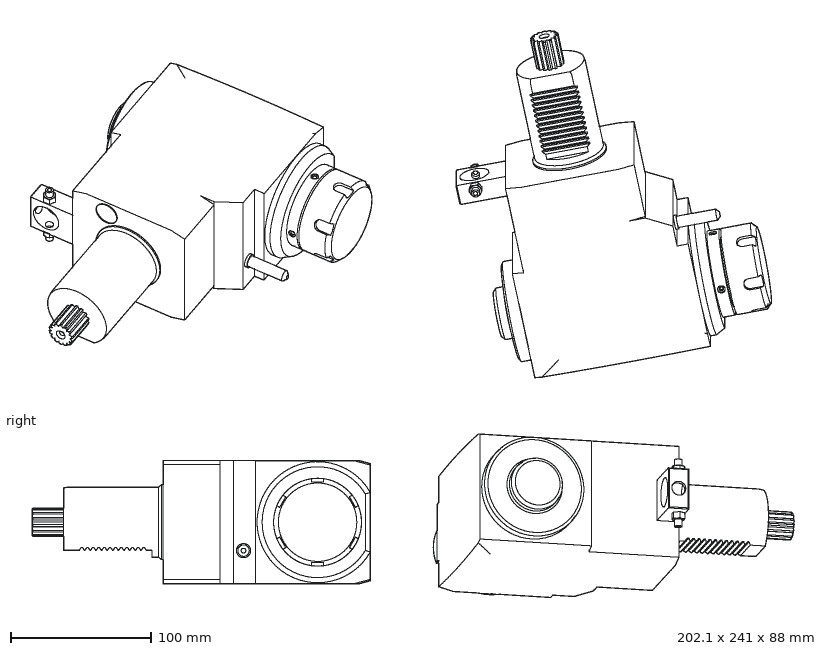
import cadquery as cq
import math


spindle_y = 110.1

height = 88.0
half_height = height / 2
back_y = 147.7
head_left_x = -55.0
head_right_x = 72.8
head_front_y = 66.0
base_half_width = 46.8
shoulder_x = 64.8
shoulder_y = 50.4
base_top_y = 40.5
bevel_slope = math.tan(math.radians(15))
side_bevel_x = 35.5
end_bevel_x = 71.3
back_arc_radius = 347.0
back_arc_x = 18.0
back_arc_y = 139.8

cap_radius = 36.5
cap_x = -65.0
cap_bevel_length = 1.5
cap_bevel_depth = 2.2
knob_radius = 18.8
knob_x = -74.5
knob_chamfer = 2.5
knob_foot_radius = 20.2
knob_foot_length = 1.5

flange_radius = 43.1
flange_bevel_x = 77.0
flange_x = 83.9
flange_bevel_depth = 3.5
collar_radius = 31.3
collar_x = 92.5
groove_radius = 25.3
nut_start_x = 94.0
nut_x = 119.0
nut_chamfer = 3.4
slot_count = 6
slot_width = 8.7
slot_depth = 2.7
slot_length = 14.5
set_screw_count = 4
set_screw_x = 88.2
set_screw_radius = 2.7
set_screw_depth = 1.2
socket_radius = 1.5
socket_depth = 2.5

pin_y = 57.4
pin_z = -20.2
pin_radius = 4.0
pin_x = 97.5
pin_chamfer = 2.5
pin_seat_radius = 5.0
pin_seat_length = 2.0

shank_radius = 25.0
shank_length = 70.9
shank_bevel_length = 3.0
shank_bevel_depth = 0.5
rim_radius = 26.8
rim_length = 1.2
rim_bevel_end = 3.1
flat_z = -20.0
flat_start_y = -8.0
tooth_gap_count = 12
first_gap_y = -13.7
last_gap_y = -57.8
tooth_pitch = (first_gap_y - last_gap_y) / (tooth_gap_count - 1)
gap_depth = 1.8
gap_mouth = 3.5
gap_floor = 1.0

spline_count = 14
spline_tip_radius = 10.1
spline_root_radius = 8.0
spline_tip_share = 0.3
spline_end_y = -93.3
spline_chamfer = 0.7
center_hole_radius = 2.0
center_hole_depth = 7.2
center_sink_radius = 3.5

recess_x = -18.5
recess_z = 32.3
recess_radius = 8.7
recess_depth = 0.7

block_x = -83.1
block_front_y = 1.33
block_depth = 15.0
block_y = block_front_y + block_depth / 2
block_height = 29.6
block_half_height = block_height / 2
block_chamfer = 0.7
bore_x = -69.6
bore_diameter = 21.0
bore_radius = bore_diameter / 2
inlet_radius = 5.0
pilot_radius = 1.2
pilot_depth = 2.5
nozzle_y = 6.0
hex_radius = 4.8
hex_height = 4.8
hex_chamfer = 0.7
nozzle_diameter = 5.5
nozzle_radius = nozzle_diameter / 2
nozzle_top_z = 24.5
nozzle_hole_radius = 1.5
wall_hole_radius = 3.0


def revolve_about_x(profile, axis_y=spindle_y):
    """Turn (x, radius) points into a solid around the line parallel to X at axis_y."""
    points = [(x, axis_y + radius) for x, radius in profile]
    closed = [(profile[0][0], axis_y)] + points + [(profile[-1][0], axis_y)]
    return cq.Workplane("XY").polyline(closed).close().revolve(360, (0, axis_y), (1, axis_y))


def revolve_about_y(profile):
    """Turn (radius, y) points into a solid around the Y axis."""
    closed = [(0, profile[0][1])] + profile + [(0, profile[-1][1])]
    return cq.Workplane("XY").polyline(closed).close().revolve(360, (0, 0), (0, 1))


def cylinder_along_x(radius, start_x, end_x, y, z):
    return cq.Workplane("YZ", origin=(start_x, y, z)).circle(radius).extrude(end_x - start_x)


def bevelled_bar(left_x, left_bevel_x, right_bevel_x, right_x):
    """Bar along Y whose top and bottom fall away at the bevel slope towards both sides."""
    left_z = half_height - (left_bevel_x - left_x) * bevel_slope
    right_z = half_height - (right_x - right_bevel_x) * bevel_slope
    upper = [(left_x, left_z), (left_bevel_x, half_height), (right_bevel_x, half_height), (right_x, right_z)]
    lower = [(x, -z) for x, z in reversed(upper)]
    return cq.Workplane("XZ", origin=(0, back_y, 0)).polyline(upper + lower).close().extrude(back_y)


def make_housing():
    head_outline = [
        (head_left_x, back_y),
        (head_right_x, back_y),
        (head_right_x, head_front_y),
        (shoulder_x, head_front_y),
        (shoulder_x, shoulder_y),
        (base_half_width, base_top_y),
        (-base_half_width, base_top_y),
        (-base_half_width, head_front_y),
        (head_left_x, head_front_y),
    ]
    head = cq.Workplane("XY").polyline(head_outline).close().extrude(half_height, both=True)
    head = head.intersect(bevelled_bar(head_left_x, -side_bevel_x, end_bevel_x, head_right_x))

    cone_base_radius = back_arc_radius + half_height / bevel_slope
    cone_axis = (back_arc_x, back_arc_y - back_arc_radius)
    cone_outline = [
        (0, half_height),
        (back_arc_radius, half_height),
        (cone_base_radius, 0),
        (back_arc_radius, -half_height),
        (0, -half_height),
    ]
    cone = cq.Workplane("XZ").polyline(cone_outline).close().revolve(360, (0, 0), (0, 1))
    head = head.intersect(cone.translate((*cone_axis, 0)))

    base = bevelled_bar(-base_half_width, -side_bevel_x, side_bevel_x, base_half_width)
    base_limit = cq.Workplane("XY").box(2 * base_half_width, base_top_y, height)
    base_limit = base_limit.translate((0, base_top_y / 2, 0))
    recess = cq.Workplane("XZ", origin=(recess_x, 0, recess_z)).circle(recess_radius).extrude(-recess_depth)
    return head.union(base.intersect(base_limit)).cut(recess)


def make_cap():
    return revolve_about_x([
        (knob_x, knob_radius - knob_chamfer),
        (knob_x + knob_chamfer, knob_radius),
        (cap_x - knob_foot_length, knob_radius),
        (cap_x, knob_foot_radius),
        (cap_x, cap_radius - cap_bevel_depth),
        (cap_x + cap_bevel_length, cap_radius),
        (head_left_x, cap_radius),
    ])


def flange_section(x):
    """Circle around the spindle, cut off flush with the back of the housing."""
    flat = back_y - spindle_y
    half_chord = math.sqrt(flange_radius ** 2 - flat ** 2)
    plane = cq.Workplane("YZ", origin=(x, spindle_y, 0))
    return plane.moveTo(flat, half_chord).threePointArc((-flange_radius, 0), (flat, -half_chord)).close()


def make_nose():
    bevel_length = flange_x - flange_bevel_x
    bevel_angle = math.degrees(math.atan(flange_bevel_depth / bevel_length))
    flange = flange_section(head_right_x).extrude(flange_bevel_x - head_right_x)
    flange = flange.union(flange_section(flange_bevel_x).extrude(bevel_length, taper=bevel_angle))
    spindle = revolve_about_x([
        (flange_x, collar_radius),
        (collar_x, collar_radius),
        (collar_x, groove_radius),
        (nut_start_x, groove_radius),
        (nut_start_x, collar_radius),
        (nut_x - nut_chamfer, collar_radius),
        (nut_x, collar_radius - nut_chamfer),
    ])
    axis_start, axis_end = (0, spindle_y, 0), (1, spindle_y, 0)

    slot_nose_x = nut_x - slot_length + slot_width / 2
    slot_plane = cq.Workplane("XY", origin=(slot_nose_x, spindle_y, collar_radius - slot_depth))
    slot = slot_plane.circle(slot_width / 2).extrude(2 * slot_depth)
    slot_run = slot_plane.center(slot_length / 2, 0).rect(slot_length, slot_width)
    slot = slot.union(slot_run.extrude(2 * slot_depth))
    for i in range(slot_count):
        spindle = spindle.cut(slot.rotate(axis_start, axis_end, i * 360 / slot_count))

    screw_plane = cq.Workplane("XY", origin=(set_screw_x, spindle_y, collar_radius))
    screw = screw_plane.circle(set_screw_radius).extrude(-set_screw_depth)
    screw = screw.union(screw_plane.circle(socket_radius).extrude(-set_screw_depth - socket_depth))
    for i in range(set_screw_count):
        spindle = spindle.cut(screw.rotate(axis_start, axis_end, i * 360 / set_screw_count))
    return flange.union(spindle)


def make_pin():
    seat = cylinder_along_x(pin_seat_radius, shoulder_x, shoulder_x + pin_seat_length, pin_y, pin_z)
    pin = cylinder_along_x(pin_radius, shoulder_x, pin_x, pin_y, pin_z)
    return seat.union(pin.faces(">X").chamfer(pin_chamfer))


def make_shank():
    shank = revolve_about_y([
        (rim_radius, 0),
        (rim_radius, -rim_length),
        (shank_radius, -rim_bevel_end),
        (shank_radius, shank_bevel_length - shank_length),
        (shank_radius - shank_bevel_depth, -shank_length),
    ])
    flat_length = shank_length + flat_start_y
    flat_cut = cq.Workplane("XY").box(2 * shank_radius, flat_length, shank_radius)
    shank = shank.cut(flat_cut.translate((0, flat_start_y - flat_length / 2, flat_z - shank_radius / 2)))

    gap_outline = [
        (-gap_mouth / 2, flat_z),
        (-gap_floor / 2, flat_z + gap_depth),
        (gap_floor / 2, flat_z + gap_depth),
        (gap_mouth / 2, flat_z),
    ]
    gap = cq.Workplane("YZ").polyline(gap_outline).close().extrude(shank_radius, both=True)
    for i in range(tooth_gap_count):
        shank = shank.cut(gap.translate((0, first_gap_y - i * tooth_pitch, 0)))
    return shank


def make_spline():
    pitch_angle = 2 * math.pi / spline_count
    outline = []
    for i in range(spline_count):
        for radius, share in (
            (spline_root_radius, 0),
            (spline_tip_radius, 0.5 - spline_tip_share / 2),
            (spline_tip_radius, 0.5 + spline_tip_share / 2),
        ):
            angle = (i + share) * pitch_angle
            outline.append((radius * math.cos(angle), radius * math.sin(angle)))
    length = -spline_end_y - shank_length
    spline = cq.Workplane("XZ", origin=(0, -shank_length, 0)).polyline(outline).close().extrude(length)
    envelope = revolve_about_y([
        (spline_tip_radius, -shank_length),
        (spline_tip_radius, spline_end_y + spline_chamfer),
        (spline_tip_radius - spline_chamfer, spline_end_y),
    ])
    sink_depth = center_sink_radius - center_hole_radius
    hole = revolve_about_y([
        (center_sink_radius, spline_end_y),
        (center_hole_radius, spline_end_y + sink_depth),
        (center_hole_radius, spline_end_y + center_hole_depth),
    ])
    return spline.intersect(envelope).cut(hole)


def make_nozzle():
    """Hex body and hollow nozzle standing on top of the coolant block."""
    foot = cq.Workplane("XY", origin=(bore_x, nozzle_y, block_half_height))
    hexagon = foot.polygon(6, 2 * hex_radius).extrude(hex_height)
    hexagon = hexagon.intersect(foot.circle(hex_radius).extrude(hex_height).faces(">Z").chamfer(hex_chamfer))
    tube = foot.circle(nozzle_radius).extrude(nozzle_top_z - block_half_height)
    bore = foot.circle(nozzle_hole_radius).extrude(nozzle_top_z - block_half_height)
    return hexagon.union(tube).cut(bore)


def make_coolant_block():
    length = -base_half_width - block_x
    block = cq.Workplane("XY").box(length, block_depth, block_height)
    block = block.translate((block_x + length / 2, block_y, 0))
    block = block.faces("<X").edges().chamfer(block_chamfer)
    bore = cq.Workplane("XZ", origin=(bore_x, block_y, 0)).circle(bore_radius).extrude(block_depth, both=True)
    inlet = cylinder_along_x(inlet_radius, block_x, bore_x, block_y, 0)
    pilot = cylinder_along_x(pilot_radius, bore_x, bore_x + bore_radius + pilot_depth, block_y, 0)
    wall_holes = cq.Workplane("XY", origin=(bore_x, nozzle_y, 0)).circle(wall_hole_radius)
    wall_holes = wall_holes.extrude(block_half_height, both=True)
    block = block.cut(bore).cut(inlet).cut(pilot).cut(wall_holes)
    nozzle = make_nozzle()
    return block.union(nozzle).union(nozzle.mirror("XY"))


result = make_housing()
for make_feature in (make_cap, make_nose, make_pin, make_shank, make_spline, make_coolant_block):
    result = result.union(make_feature())